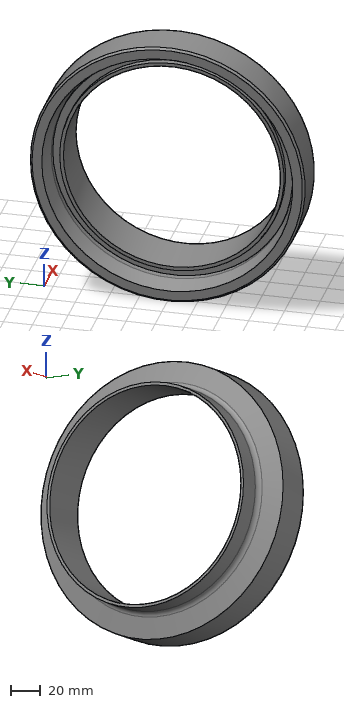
import cadquery as cq
import math

length = 50.0
flange_diameter = 190.0
flange_width = 28.1
flange_chamfer = 1.5
spigot_diameter = 154.0
bore_diameter = 150.0

back_slope = 10.0
back_fillet = 3.8

recess_mouth_diameter = 173.5
recess_diameter = 166.8
taper_depth = 13.3
recess_depth = 18.0

lip_diameter = 155.0
lip_height = 4.8

flange_radius = flange_diameter / 2
spigot_radius = spigot_diameter / 2
bore_radius = bore_diameter / 2
recess_radius = recess_diameter / 2
lip_radius = lip_diameter / 2
lip_face = recess_depth - lip_height

slope = math.radians(back_slope)
back_corner = flange_width + (flange_radius - spigot_radius) * math.tan(slope)
tangent_length = back_fillet * math.tan((math.pi / 2 - slope) / 2)
fillet_start = (
    back_corner - tangent_length * math.sin(slope),
    spigot_radius + tangent_length * math.cos(slope),
)
fillet_end = (back_corner + tangent_length, spigot_radius)
fillet_centre = (fillet_end[0], spigot_radius + back_fillet)
mid_angle = (math.pi / 2 + slope) / 2
fillet_middle = (
    fillet_centre[0] - back_fillet * math.cos(mid_angle),
    fillet_centre[1] - back_fillet * math.sin(mid_angle),
)

half_section = (
    cq.Workplane("XY")
    .moveTo(0, flange_radius - flange_chamfer)
    .lineTo(flange_chamfer, flange_radius)
    .lineTo(flange_width, flange_radius)
    .lineTo(*fillet_start)
    .threePointArc(fillet_middle, fillet_end)
    .lineTo(length, spigot_radius)
    .lineTo(length, bore_radius)
    .lineTo(lip_face, bore_radius)
    .lineTo(lip_face, lip_radius)
    .lineTo(recess_depth, lip_radius)
    .lineTo(recess_depth, recess_radius)
    .lineTo(taper_depth, recess_radius)
    .lineTo(0, recess_mouth_diameter / 2)
    .close()
)

result = half_section.revolve(360, (0, 0, 0), (1, 0, 0))